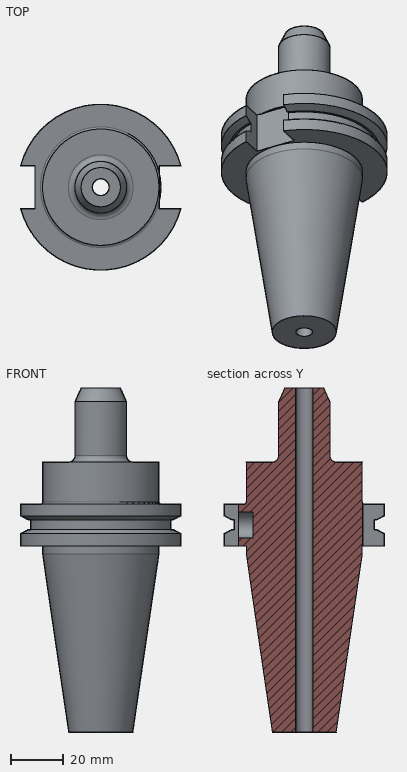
import cadquery as cq

total_height = 131.8
taper_height = 68.2
flange_bottom = 71.3
flange_top = 87.4
boss_top = 103.4
tip_cone_height = 5.3

taper_end_radius = 12.3
taper_radius = 22.3
flange_radius = 31.8
boss_radius = 22.3
pilot_radius = 9.9
tip_radius = 7.5
bore_radius = 3.2
boss_root_fillet = 0.8
pilot_root_fillet = 2.5

groove_radius = 28.0
groove_ledge = 0.8
groove_floor_width = 3.7
groove_mouth_width = 6.9
groove_height = 79.5

slot_width = 16.3
left_slot_floor = 25.2
right_slot_floor = 22.4

pocket_radius = 4.9
pocket_depth = 5.5

flange_thickness = flange_top - flange_bottom
flange_middle = (flange_top + flange_bottom) / 2


def make_body():
    """Revolve the taper, flange, boss and pilot about Z."""
    profile = (
        cq.Workplane("XZ")
        .lineTo(taper_end_radius, 0)
        .lineTo(taper_radius, taper_height)
        .lineTo(taper_radius, flange_bottom)
        .lineTo(flange_radius, flange_bottom)
        .lineTo(flange_radius, groove_height - groove_mouth_width / 2)
        .lineTo(groove_radius + groove_ledge, groove_height - groove_floor_width / 2)
        .lineTo(groove_radius, groove_height - groove_floor_width / 2)
        .lineTo(groove_radius, groove_height + groove_floor_width / 2)
        .lineTo(groove_radius + groove_ledge, groove_height + groove_floor_width / 2)
        .lineTo(flange_radius, groove_height + groove_mouth_width / 2)
        .lineTo(flange_radius, flange_top)
        .lineTo(boss_radius + boss_root_fillet, flange_top)
        .radiusArc((boss_radius, flange_top + boss_root_fillet), boss_root_fillet)
        .lineTo(boss_radius, boss_top)
        .lineTo(pilot_radius + pilot_root_fillet, boss_top)
        .radiusArc((pilot_radius, boss_top + pilot_root_fillet), pilot_root_fillet)
        .lineTo(pilot_radius, total_height - tip_cone_height)
        .lineTo(tip_radius, total_height)
        .lineTo(0, total_height)
        .close()
    )
    return profile.revolve(360, (0, 0, 0), (0, 1, 0))


def make_slot(side, floor):
    """Block cutting the flange outward from the floor; side is -1 or +1 along X."""
    center_x = side * (floor + flange_radius / 2)
    return (
        cq.Workplane("XY")
        .box(flange_radius, slot_width, flange_thickness)
        .translate((center_x, 0, flange_middle))
    )


def make_pocket():
    """Round cutter running along +X from the floor of the -X slot."""
    return (
        cq.Workplane("YZ", origin=(-left_slot_floor, 0, flange_middle))
        .circle(pocket_radius)
        .extrude(pocket_depth)
    )


bore = cq.Workplane("XY").circle(bore_radius).extrude(total_height)

result = (
    make_body()
    .cut(bore)
    .cut(make_slot(-1, left_slot_floor))
    .cut(make_slot(1, right_slot_floor))
    .cut(make_pocket())
)